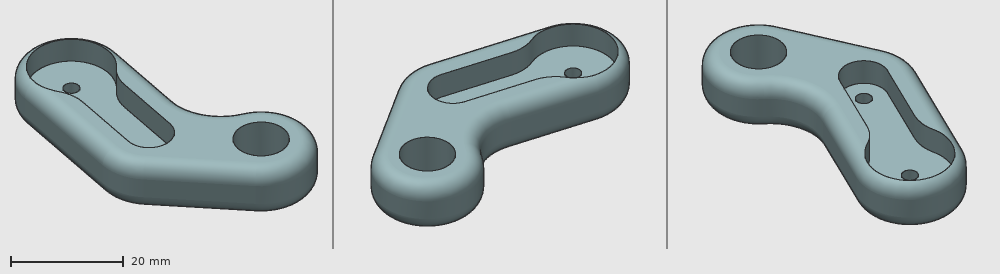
import cadquery as cq
import math

length = 57.0
width = 35.15
thickness = 10.0
end_diameter = 20.0
elbow_x = 24.0
inner_bend_radius = 10.0
edge_radius = 3.0
pivot_hole_diameter = 10.0
screw_hole_diameter = 3.0
pocket_head_radius = 8.0
pocket_slot_radius = 4.5
pocket_blend_radius = 8.0
pocket_depth = 5.0

end_radius = end_diameter / 2
tip_x = length - end_diameter
tip_y = width - end_diameter


def on_circle(center_x, center_y, radius, angle):
    """Point on a circle at an angle in radians."""
    return (center_x + radius * math.cos(angle), center_y + radius * math.sin(angle))


def make_body():
    """Bent arm with rounded ends and rounded top and bottom edges."""
    outer_normal = math.atan2(tip_y, tip_x - elbow_x) - math.pi / 2

    bend_y = end_radius + inner_bend_radius
    center_gap = end_radius + inner_bend_radius
    bend_x = tip_x - math.sqrt(center_gap**2 - (bend_y - tip_y) ** 2)
    tip_to_bend = math.atan2(bend_y - tip_y, bend_x - tip_x)
    bend_to_tip = tip_to_bend - math.pi
    bend_middle = (bend_to_tip - math.pi / 2) / 2
    tip_middle = (outer_normal + tip_to_bend) / 2
    elbow_middle = (outer_normal - math.pi / 2) / 2

    outline = (
        cq.Workplane("XY")
        .moveTo(0, -end_radius)
        .lineTo(elbow_x, -end_radius)
        .threePointArc(
            on_circle(elbow_x, 0, end_radius, elbow_middle),
            on_circle(elbow_x, 0, end_radius, outer_normal),
        )
        .lineTo(*on_circle(tip_x, tip_y, end_radius, outer_normal))
        .threePointArc(
            on_circle(tip_x, tip_y, end_radius, tip_middle),
            on_circle(tip_x, tip_y, end_radius, tip_to_bend),
        )
        .threePointArc(
            on_circle(bend_x, bend_y, inner_bend_radius, bend_middle),
            (bend_x, end_radius),
        )
        .lineTo(0, end_radius)
        .threePointArc((-end_radius, 0), (0, -end_radius))
        .close()
    )
    return outline.extrude(thickness).faces("<Z or >Z").edges().fillet(edge_radius)


def make_pocket():
    """Keyhole-shaped pocket: round head blended into a round-ended slot."""
    blend_y = pocket_slot_radius + pocket_blend_radius
    blend_x = math.sqrt((pocket_head_radius + pocket_blend_radius) ** 2 - blend_y**2)
    head_angle = math.atan2(blend_y, blend_x)
    blend_middle = (head_angle - math.pi - math.pi / 2) / 2

    head_x, head_y = on_circle(0, 0, pocket_head_radius, head_angle)
    middle_x, middle_y = on_circle(blend_x, blend_y, pocket_blend_radius, blend_middle)
    return (
        cq.Workplane("XY", origin=(0, 0, thickness - pocket_depth))
        .moveTo(blend_x, -pocket_slot_radius)
        .lineTo(elbow_x, -pocket_slot_radius)
        .threePointArc((elbow_x + pocket_slot_radius, 0), (elbow_x, pocket_slot_radius))
        .lineTo(blend_x, pocket_slot_radius)
        .threePointArc((middle_x, middle_y), (head_x, head_y))
        .threePointArc((-pocket_head_radius, 0), (head_x, -head_y))
        .threePointArc((middle_x, -middle_y), (blend_x, -pocket_slot_radius))
        .close()
        .extrude(pocket_depth)
    )


def make_hole(center_x, center_y, diameter):
    """Cylinder through the full thickness."""
    return cq.Workplane("XY").center(center_x, center_y).circle(diameter / 2).extrude(thickness)


result = make_body().cut(make_pocket())
for screw_x in (0, elbow_x):
    result = result.cut(make_hole(screw_x, 0, screw_hole_diameter))
result = result.cut(make_hole(tip_x, tip_y, pivot_hole_diameter))